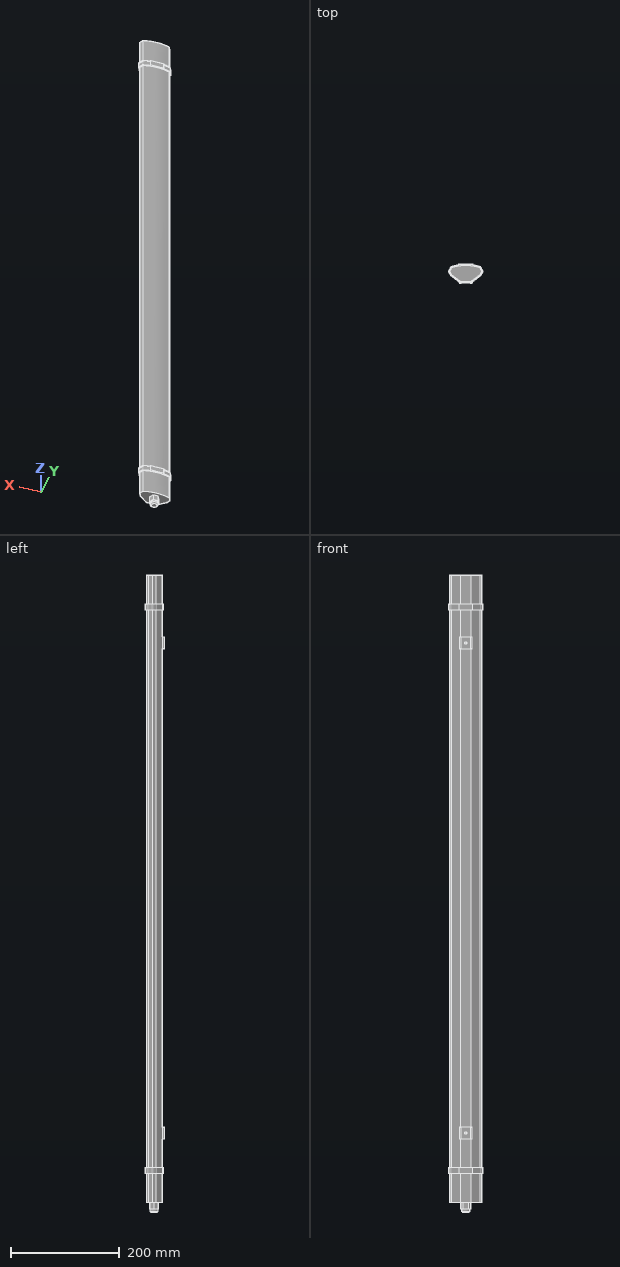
import cadquery as cq

TOTAL_LENGTH = 1170.0
TOTAL_WIDTH = 63.0
TOTAL_DEPTH = 36.0

BAND_WALL = 2.0
BAND_HEIGHT = 11.0
BAND_INSET = 58.5
BUCKLE_WIDTH = 26.0
BUCKLE_RISE = 2.5
BRIDGE_WIDTH = 25.0

BODY_WIDTH = TOTAL_WIDTH - 2 * BAND_WALL
PAD_RISE = 3.8
BACK_Y = TOTAL_DEPTH / 2 - BUCKLE_RISE
FRONT_Y = -TOTAL_DEPTH / 2 + PAD_RISE
FRONT_HALF_WIDTH = 9.5
SIDE_Y = 4.5
FLANK_HALF_WIDTH = 25.8
FLANK_Y = -2.0
SHOULDER_HALF_WIDTH = 25.5
SHOULDER_Y = 11.8

PAD_WIDTH = 23.0
PAD_HEIGHT = 22.0
PAD_HOLE_DIAMETER = 4.0
CHANNEL_WIDTH = 18.0
CHANNEL_DEPTH = 1.0
PAD_TOP_INSET = 124.5
PAD_BOTTOM_INSET = 127.5

NUT_SIDES = 6
NUT_ACROSS_CORNERS = 18.5
NUT_LENGTH = 12.0
DOME_DIAMETER = 15.0
DOME_LENGTH = 6.5
DOME_CHAMFER = 2.5
GLAND_Y = 1.5
GLAND_LENGTH = NUT_LENGTH + DOME_LENGTH

BODY_TOP_Z = TOTAL_LENGTH / 2
BODY_BOTTOM_Z = -TOTAL_LENGTH / 2 + GLAND_LENGTH


def body_section(bottom_z):
    half_width = BODY_WIDTH / 2
    return (
        cq.Workplane("XY", origin=(0, 0, bottom_z))
        .moveTo(-FRONT_HALF_WIDTH, FRONT_Y)
        .lineTo(FRONT_HALF_WIDTH, FRONT_Y)
        .lineTo(FLANK_HALF_WIDTH, FLANK_Y)
        .lineTo(half_width, SIDE_Y)
        .lineTo(SHOULDER_HALF_WIDTH, SHOULDER_Y)
        .threePointArc((0, BACK_Y), (-SHOULDER_HALF_WIDTH, SHOULDER_Y))
        .lineTo(-half_width, SIDE_Y)
        .lineTo(-FLANK_HALF_WIDTH, FLANK_Y)
        .close()
    )


def block(width, start_y, end_y, height, middle_z):
    """Box centred on X = 0 between two Y levels."""
    middle_y = (start_y + end_y) / 2
    return cq.Workplane("XY").box(width, end_y - start_y, height).translate((0, middle_y, middle_z))


def band(middle_z):
    ring = body_section(middle_z - BAND_HEIGHT / 2).offset2D(BAND_WALL).extrude(BAND_HEIGHT)
    buckle = block(BUCKLE_WIDTH, 0, TOTAL_DEPTH / 2, BAND_HEIGHT, middle_z)
    bridge = block(BRIDGE_WIDTH, FRONT_Y - BAND_WALL, 0, BAND_HEIGHT, middle_z)
    return ring.union(buckle).union(bridge)


def pad(middle_z):
    face_y = -TOTAL_DEPTH / 2
    base = block(PAD_WIDTH, face_y, FRONT_Y, PAD_HEIGHT, middle_z)
    channel = block(CHANNEL_WIDTH, face_y, face_y + CHANNEL_DEPTH, PAD_HEIGHT, middle_z)
    hole = (
        cq.Workplane("XZ", origin=(0, FRONT_Y, middle_z))
        .circle(PAD_HOLE_DIAMETER / 2)
        .extrude(PAD_RISE)
    )
    return base.cut(channel).cut(hole)


def gland():
    nut = (
        cq.Workplane("XY", origin=(0, GLAND_Y, BODY_BOTTOM_Z))
        .polygon(NUT_SIDES, NUT_ACROSS_CORNERS)
        .extrude(-NUT_LENGTH)
    )
    dome = (
        cq.Workplane("XY", origin=(0, GLAND_Y, BODY_BOTTOM_Z - NUT_LENGTH))
        .circle(DOME_DIAMETER / 2)
        .extrude(-DOME_LENGTH)
        .faces("<Z")
        .chamfer(DOME_CHAMFER)
    )
    return nut.union(dome)


result = body_section(BODY_BOTTOM_Z).extrude(BODY_TOP_Z - BODY_BOTTOM_Z)
for band_z in (BODY_BOTTOM_Z + BAND_INSET, BODY_TOP_Z - BAND_INSET):
    result = result.union(band(band_z))
for pad_z in (BODY_BOTTOM_Z + PAD_BOTTOM_INSET, BODY_TOP_Z - PAD_TOP_INSET):
    result = result.union(pad(pad_z))
result = result.union(gland())